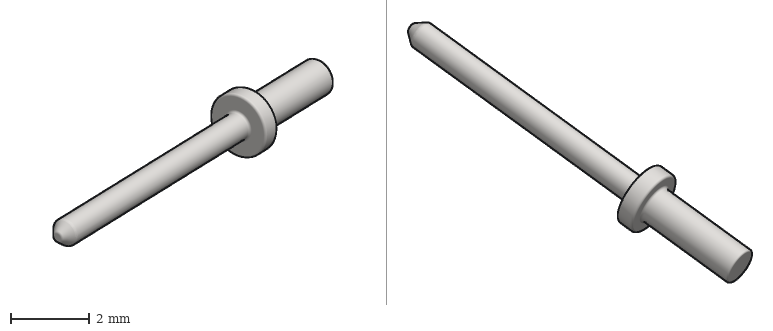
import cadquery as cq

total_length = 11.0
stud_diameter = 1.02
stud_length = 2.87
collar_diameter = 1.78
collar_thickness = 0.51
pin_diameter = 0.76

tip_length = 0.32
tip_diameter = 0.28
tip_fillet = 0.08
shoulder_fillet = 0.13
collar_fillet = 0.07
root_fillet = 0.07
stud_end_fillet = 0.05

match_tolerance = 0.001

stud_end = stud_length
collar_front = -collar_thickness
tip_end = stud_length - total_length
tip_start = tip_end + tip_length


def make_turned_body():
    """Revolve the sharp-cornered half profile about the Y axis."""
    half_profile = (
        cq.Workplane("XY")
        .moveTo(0, tip_end)
        .lineTo(tip_diameter / 2, tip_end)
        .lineTo(pin_diameter / 2, tip_start)
        .lineTo(pin_diameter / 2, collar_front)
        .lineTo(collar_diameter / 2, collar_front)
        .lineTo(collar_diameter / 2, 0)
        .lineTo(stud_diameter / 2, 0)
        .lineTo(stud_diameter / 2, stud_end)
        .lineTo(0, stud_end)
        .close()
    )
    return half_profile.revolve(360, (0, 0, 0), (0, 1, 0))


def fillet_ring(body, diameter, station, radius):
    """Round the circular edge of the given diameter at a station along Y."""

    def is_ring(edge):
        if edge.geomType() != "CIRCLE":
            return False
        same_radius = abs(edge.radius() - diameter / 2) < match_tolerance
        same_station = abs(edge.arcCenter().y - station) < match_tolerance
        return same_radius and same_station

    return body.edges().filter(is_ring).fillet(radius)


result = make_turned_body()
result = fillet_ring(result, stud_diameter, stud_end, stud_end_fillet)
result = fillet_ring(result, stud_diameter, 0, root_fillet)
result = fillet_ring(result, collar_diameter, 0, collar_fillet)
result = fillet_ring(result, collar_diameter, collar_front, collar_fillet)
result = fillet_ring(result, pin_diameter, collar_front, root_fillet)
result = fillet_ring(result, pin_diameter, tip_start, shoulder_fillet)
result = fillet_ring(result, tip_diameter, tip_end, tip_fillet)